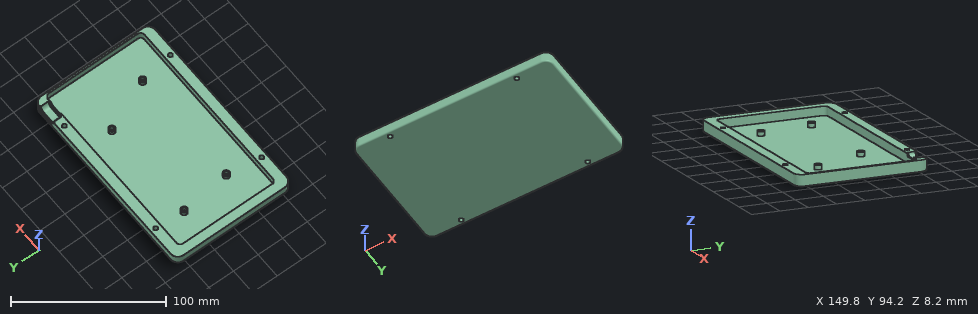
import cadquery as cq

length = 149.8
width = 94.2
height = 8.2
corner_radius = 6.0
bottom_edge_radius = 1.0

floor_thickness = 2.0
pocket_width = 78.3
left_wall = 7.0
right_wall = 1.5
pocket_corner_radius = 3.0
pocket_length = length - left_wall - right_wall
pocket_center_x = (left_wall - right_wall) / 2

screw_hole_diameter = 3.1
screw_hole_spacing_x = 96.2
screw_hole_spacing_y = 86.3

standoff_diameter = 5.0
standoff_bore_diameter = 3.0
standoff_height = 3.0
standoff_y = 19.0
standoff_places = [
    (-46.9, standoff_y),
    (29.2, standoff_y),
    (-42.1, -standoff_y),
    (46.1, -standoff_y),
]

cradle_center_x = 61.9
cradle_arc_spacing = 6.1
cradle_opening_radius = 2.0
cradle_seat_radius = 3.9
cradle_recess_radius = 4.5
cradle_recess_depth = 0.9
cradle_inner_lip = 1.0


def make_body():
    block = cq.Workplane("XY").box(length, width, height, centered=(True, True, False))
    return block.edges("|Z").fillet(corner_radius).faces("<Z").edges().fillet(bottom_edge_radius)


def make_pocket():
    return (
        cq.Workplane("XY", origin=(pocket_center_x, 0, floor_thickness))
        .rect(pocket_length, pocket_width)
        .extrude(height - floor_thickness)
        .edges("|Z")
        .fillet(pocket_corner_radius)
    )


def make_screw_holes():
    return (
        cq.Workplane("XY")
        .rect(screw_hole_spacing_x, screw_hole_spacing_y, forConstruction=True)
        .vertices()
        .circle(screw_hole_diameter / 2)
        .extrude(height)
    )


def make_standoffs():
    return (
        cq.Workplane("XY", origin=(0, 0, floor_thickness))
        .pushPoints(standoff_places)
        .circle(standoff_diameter / 2)
        .circle(standoff_bore_diameter / 2)
        .extrude(standoff_height)
    )


def make_cradle_slot(radius, start_y, end_y):
    """Slot along Y with a flat floor and quarter-round sides, centred on the top face."""
    return (
        cq.Workplane("XZ", origin=(cradle_center_x, end_y, height))
        .slot2D(cradle_arc_spacing + 2 * radius, 2 * radius)
        .extrude(end_y - start_y)
    )


outer_y = width / 2
recess_y = outer_y - cradle_recess_depth
pocket_y = pocket_width / 2
seat_y = pocket_y + cradle_inner_lip

result = make_body().cut(make_pocket()).cut(make_screw_holes())
result = result.cut(make_cradle_slot(cradle_opening_radius, pocket_y, seat_y))
result = result.cut(make_cradle_slot(cradle_seat_radius, seat_y, recess_y))
result = result.cut(make_cradle_slot(cradle_recess_radius, recess_y, outer_y))
result = result.union(make_standoffs())